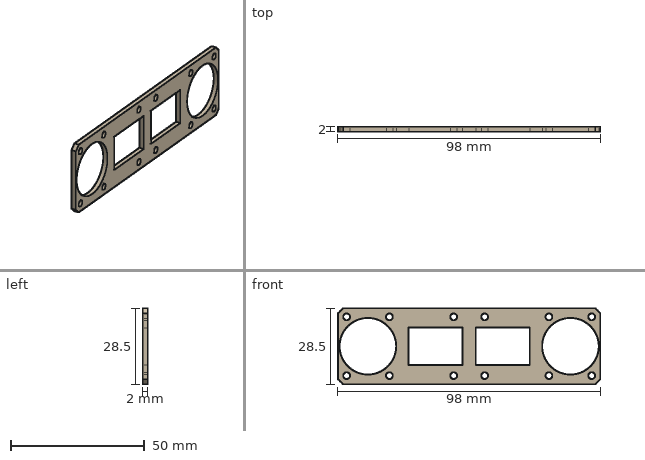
import cadquery as cq

length = 98.0
height = 28.5
thickness = 2.0
corner_chamfer = 2.0

round_diameter = 21.1
round_offset = 37.8

window_width = 20.1
window_height = 13.9
window_offset = 12.5

screw_diameter = 2.45
screw_row_offset = 11.0
screw_offsets = [5.8, 29.8, 45.8]


def mirrored(offsets):
    """Return each offset on both sides of the centre."""
    return [side * offset for offset in offsets for side in (-1, 1)]


def opening_centres(points):
    """Return a workplane on the plate's front face, carrying the given points."""
    return cq.Workplane("XZ", origin=(0, -thickness / 2, 0)).pushPoints(points)


plate = cq.Workplane("XZ").rect(length, height).extrude(thickness / 2, both=True)
plate = plate.edges("|Y").chamfer(corner_chamfer)

round_points = [(x, 0) for x in mirrored([round_offset])]
round_openings = opening_centres(round_points).circle(round_diameter / 2).extrude(-thickness)

window_points = [(x, 0) for x in mirrored([window_offset])]
windows = opening_centres(window_points).rect(window_width, window_height).extrude(-thickness)

screw_points = [(x, z) for x in mirrored(screw_offsets) for z in mirrored([screw_row_offset])]
screw_holes = opening_centres(screw_points).circle(screw_diameter / 2).extrude(-thickness)

result = plate.cut(round_openings).cut(windows).cut(screw_holes)